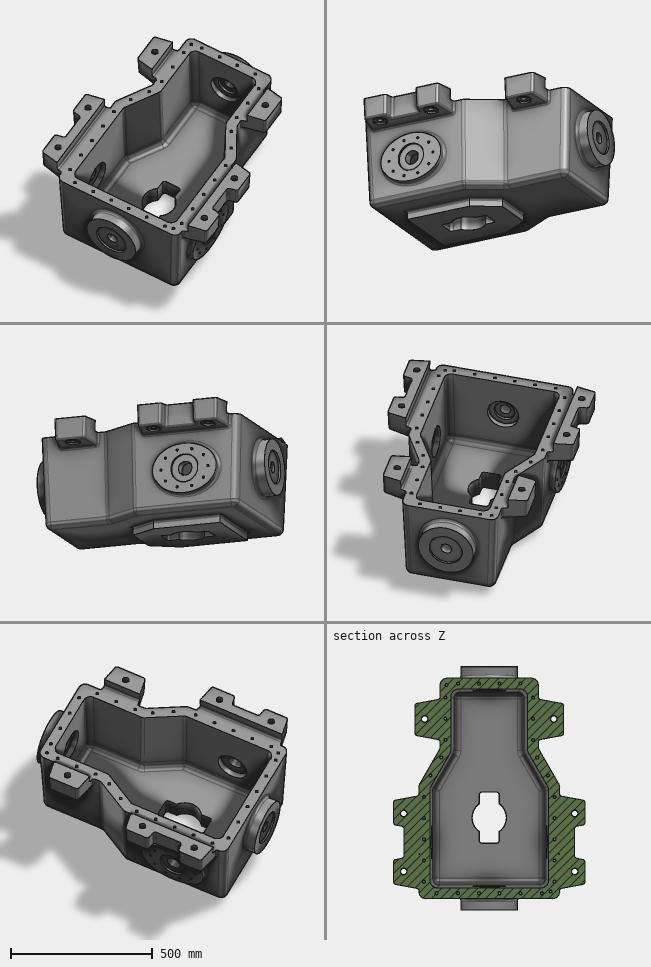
import cadquery as cq
import math

SPAN = 860.0

PAD_TOP = 39.5
BODY_HEIGHT = 330.0
BASE_BOTTOM = -360.0
DRAFT = 2.0

WIDE_HALF = 249.0
NARROW_HALF = 175.0
BODY_HALF_LENGTH = 390.5
NECK_REAR_Y = 141.0
NECK_ANGLE = 60.0
WALL = 40.0
CORNER_RADIUS = 25.0

PAD_TIP_RADIUS = 9.5
PAD_FLARE = 10.5
PAD_INNER_X = 155.0
PAD_TIP_DEPTH = 78.0
PAD_SLOPE = 5.0
PAD_EDGE_RADIUS = 7.0
PAD_ROOT_RADIUS = 8.0
STEP_RADIUS = 7.0
PAD_HOLE_DIAMETER = 22.0
SPOTFACE_RADIUS = 26.0
SPOTFACE_Z = -38.0
PAD_BLANK_HEIGHT = 112.0
ROOT_BAND = 6.0

REAR_PAD_TIP_X = 265.0
REAR_PAD_STEP_X = 196.0
REAR_PAD_Y = 243.0
REAR_PAD_TIP_HALF = 58.0
REAR_HOLE = (228.0, 245.0)

FRONT_PAD_TIP_X = 340.1
FRONT_PAD_STEP_X = 270.0
FRONT_PAD_Y = -190.0
FRONT_PAD_TIP_HALF = 150.0
NOTCH_FLOOR_X = 304.0
NOTCH_FLOOR_HALF = 53.0
FRONT_HOLE_X = 302.0
FRONT_HOLE_Y = -191.0
FRONT_HOLE_SPACING = 205.0

END_BOSS_Z = -140.0
END_BOSS_RADIUS = 100.2
END_BOSS_FACE = 430.0
END_RECESS_RADIUS = 60.0
END_BORE_RADIUS = 20.0

SIDE_BOSS_Y = -190.0
SIDE_BOSS_Z = -185.0
SIDE_BOSS_AXES = (120.0, 90.0)
SIDE_BOSS_FACE = 265.0
SIDE_RECESS_RADIUS = 51.0
SIDE_BORE_RADIUS = 25.4
SIDE_BOLT_AXES = (89.0, 70.5)
SIDE_BOLT_COUNT = 10
SIDE_BOLT_DIAMETER = 8.0

BOSS_ROOT_RADIUS = 10.0
RECESS_DEPTH = 8.0
INNER_RECESS_RADIUS = 57.0
END_INNER_FLOOR = 364.0
END_INNER_STEP_RADIUS = 38.0
END_INNER_STEP_FLOOR = 374.0
SIDE_INNER_FLOOR = 223.0

BASE_HALF_WIDTH = 135.0
BASE_FRONT_Y = -275.0
BASE_NECK_Y = -24.0
BASE_REAR_Y = 76.0
BASE_ROOT_RADIUS = 9.0
OPENING_Y = -103.0
OPENING_RADIUS = 60.0
SLOT_WIDTH = 70.5
SLOT_LENGTH = 181.0
SLOT_CORNER_RADIUS = 10.0

RIM_HOLE_DIAMETER = 9.5
THREAD_DEPTH = 20.0
RIM_PITCH = 75.0
RIM_NARROW_X = 155.0
RIM_NARROW_Y = 246.0
RIM_WIDE_X = 230.5
RIM_WIDE_Y = -180.0
RIM_END_Y = 370.2
RIM_END_XS = (36.0, 110.0)
RIM_FRONT_OUTER_X = 186.0
RIM_NECK_POINTS = ((169.0, 109.0), (207.0, 46.0))
DOWEL_POINTS = ((-150.5, 365.5), (217.0, -364.0))


def tan(angle):
    return math.tan(math.radians(angle))


def mirrored(points):
    """Points on the +X side joined by their reflections, as a closed outline order."""
    return points + [(-x, y) for x, y in reversed(points)]


def box_around(center, half_sizes):
    """Selector for the edges centred within a box."""
    low = [c - h for c, h in zip(center, half_sizes)]
    high = [c + h for c, h in zip(center, half_sizes)]
    return cq.selectors.BoxSelector(low, high)


def both_sides(solid):
    return solid.union(solid.mirror("YZ"))


def body_outline(inset):
    neck_shift = inset * tan((90 - NECK_ANGLE) / 2)
    neck_front_y = NECK_REAR_Y - (WIDE_HALF - NARROW_HALF) * tan(NECK_ANGLE)
    return mirrored([
        (WIDE_HALF - inset, inset - BODY_HALF_LENGTH),
        (WIDE_HALF - inset, neck_front_y - neck_shift),
        (NARROW_HALF - inset, NECK_REAR_Y - neck_shift),
        (NARROW_HALF - inset, BODY_HALF_LENGTH - inset),
    ])


def tapered_tub(inset, height):
    """Body outline set in by `inset`, drawn down from the rim with draft and rounded edges."""
    floor_outline = body_outline(inset + height * tan(DRAFT))
    tub = (
        cq.Workplane("XY").polyline(body_outline(inset)).close()
        .workplane(offset=-height).polyline(floor_outline).close()
        .loft(ruled=True)
    )
    return tub.edges("(not #Z) or <Z").fillet(CORNER_RADIUS)


def pad_notch(tip_x, center_y):
    """Gap between two pads, opening to the tip and widening downward with the draft."""
    growth = PAD_BLANK_HEIGHT * tan(DRAFT)
    floor_x = NOTCH_FLOOR_X - growth
    mouth_x = tip_x + PAD_BLANK_HEIGHT
    side_growth = growth / math.cos(math.radians(PAD_FLARE)) - growth * tan(PAD_FLARE)
    floor_half = NOTCH_FLOOR_HALF + side_growth
    mouth_half = floor_half + (mouth_x - floor_x) * tan(PAD_FLARE)
    outline = [
        (floor_x, center_y - floor_half),
        (mouth_x, center_y - mouth_half),
        (mouth_x, center_y + mouth_half),
        (floor_x, center_y + floor_half),
    ]
    return (
        cq.Workplane("XY", origin=(0, 0, PAD_TOP - PAD_BLANK_HEIGHT))
        .polyline(outline).close().extrude(PAD_BLANK_HEIGHT, taper=DRAFT)
    )


def pad(tip_x, step_x, center_y, tip_half, notched):
    """Drafted pad on the +X side, with a sloping underside and a step down to the rim."""
    root_half = tip_half + (tip_x - PAD_INNER_X) * tan(PAD_FLARE)
    outline = [
        (PAD_INNER_X, center_y - root_half),
        (tip_x, center_y - tip_half),
        (tip_x, center_y + tip_half),
        (PAD_INNER_X, center_y + root_half),
    ]
    block = (
        cq.Workplane("XY", origin=(0, 0, PAD_TOP))
        .polyline(outline).close().extrude(-PAD_BLANK_HEIGHT, taper=DRAFT)
    )
    if notched:
        block = block.cut(pad_notch(tip_x, center_y))
    outside_wall = cq.selectors.BoxSelector((step_x, -SPAN, -SPAN), (SPAN, SPAN, SPAN))
    block = block.edges("not #Z").edges(outside_wall).fillet(PAD_TIP_RADIUS)

    tip_bottom = PAD_TOP - PAD_TIP_DEPTH
    root_bottom = tip_bottom - tip_x * tan(PAD_SLOPE)
    below = (
        cq.Workplane("XZ")
        .polyline([(0, root_bottom), (tip_x, tip_bottom), (tip_x, -SPAN), (0, -SPAN)])
        .close().extrude(SPAN, both=True)
    )
    block = block.cut(below).faces("<Z").edges("not <X").fillet(PAD_EDGE_RADIUS)

    step = (
        cq.Workplane("XY").box(2 * step_x, 2 * SPAN, PAD_TOP, centered=(True, True, False))
        .edges(">X and <Z").fillet(STEP_RADIUS)
    )
    return block.cut(step)


def add_pads(body, wall_half, tip_x, step_x, center_y, tip_half, notched):
    """Join a mirrored pair of pads to the side walls and round their roots."""
    body = body.union(both_sides(pad(tip_x, step_x, center_y, tip_half, notched)))
    reach_y = tip_half + (tip_x - PAD_INNER_X) * tan(PAD_FLARE)
    for side in (-1, 1):
        root = box_around(
            (side * wall_half, center_y, -PAD_TIP_DEPTH / 2),
            (ROOT_BAND, reach_y, PAD_TIP_DEPTH / 2),
        )
        body = body.edges(root).fillet(PAD_ROOT_RADIUS)
    return body


def drill(body, diameter, depth, top_z, points):
    tools = (
        cq.Workplane("XY", origin=(0, 0, top_z)).pushPoints(points)
        .circle(diameter / 2).extrude(-depth)
    )
    return body.cut(tools)


def pad_holes(body):
    """Clearance holes through the pads, spotfaced on the sloping underside."""
    front_ys = [FRONT_HOLE_Y + side * FRONT_HOLE_SPACING / 2 for side in (-1, 1)]
    points = mirrored([REAR_HOLE] + [(FRONT_HOLE_X, y) for y in front_ys])
    body = drill(body, PAD_HOLE_DIAMETER, PAD_BLANK_HEIGHT, PAD_TOP, points)
    return drill(body, 2 * SPOTFACE_RADIUS, PAD_BLANK_HEIGHT - PAD_TOP, SPOTFACE_Z, points)


def rim_holes(body):
    narrow = [(RIM_NARROW_X, RIM_NARROW_Y + i * RIM_PITCH) for i in range(-1, 2)]
    wide = [(RIM_WIDE_X, RIM_WIDE_Y + i * RIM_PITCH) for i in range(-2, 3)]
    ends = [(x, side * RIM_END_Y) for x in RIM_END_XS for side in (-1, 1)]
    ends.append((RIM_FRONT_OUTER_X, -RIM_END_Y))
    points = mirrored(narrow + wide + ends + list(RIM_NECK_POINTS)) + list(DOWEL_POINTS)
    return drill(body, RIM_HOLE_DIAMETER, THREAD_DEPTH, 0, points)


def end_plane(y):
    return cq.Workplane("XZ", origin=(0, y, END_BOSS_Z))


def side_plane(x):
    return cq.Workplane("YZ", origin=(x, SIDE_BOSS_Y, SIDE_BOSS_Z))


def add_bosses(body):
    """Bosses on all four walls, rounded where they meet the drafted faces."""
    end_root_y = BODY_HALF_LENGTH - WALL / 2
    side_root_x = WIDE_HALF - WALL / 2
    root_size = (ROOT_BAND, ROOT_BAND, ROOT_BAND)
    for side in (-1, 1):
        end_boss = end_plane(side * end_root_y).circle(END_BOSS_RADIUS)
        side_boss = side_plane(side * side_root_x).ellipse(*SIDE_BOSS_AXES)
        body = body.union(end_boss.extrude(-side * (END_BOSS_FACE - end_root_y)))
        body = body.union(side_boss.extrude(side * (SIDE_BOSS_FACE - side_root_x)))

        end_wall_y = side * (BODY_HALF_LENGTH + END_BOSS_Z * tan(DRAFT))
        end_root = box_around((0, end_wall_y, END_BOSS_Z), root_size)
        side_wall_x = side * (WIDE_HALF + SIDE_BOSS_Z * tan(DRAFT))
        side_root = box_around((side_wall_x, SIDE_BOSS_Y, SIDE_BOSS_Z), root_size)
        body = body.edges(end_root).fillet(BOSS_ROOT_RADIUS)
        body = body.edges(side_root).fillet(BOSS_ROOT_RADIUS)
    return body


def bore_bosses(body):
    """Through bores, the shallow recesses at both ends of each, and the side bolt circles."""
    end_cuts = (
        (END_BORE_RADIUS, END_BOSS_FACE),
        (END_INNER_STEP_RADIUS, END_INNER_STEP_FLOOR),
        (INNER_RECESS_RADIUS, END_INNER_FLOOR),
    )
    side_cuts = (
        (SIDE_BORE_RADIUS, SIDE_BOSS_FACE),
        (INNER_RECESS_RADIUS, SIDE_INNER_FLOOR),
    )
    for radius, reach in end_cuts:
        body = body.cut(end_plane(0).circle(radius).extrude(reach, both=True))
    for radius, reach in side_cuts:
        body = body.cut(side_plane(0).circle(radius).extrude(reach, both=True))

    angles = [2 * math.pi * i / SIDE_BOLT_COUNT for i in range(SIDE_BOLT_COUNT)]
    long_axis, short_axis = SIDE_BOLT_AXES
    bolts = [(long_axis * math.cos(a), short_axis * math.sin(a)) for a in angles]
    for side in (-1, 1):
        end_face = end_plane(side * END_BOSS_FACE)
        side_face = side_plane(side * SIDE_BOSS_FACE)
        body = body.cut(end_face.circle(END_RECESS_RADIUS).extrude(side * RECESS_DEPTH))
        body = body.cut(side_face.circle(SIDE_RECESS_RADIUS).extrude(-side * RECESS_DEPTH))
        bolt_holes = side_face.pushPoints(bolts).circle(SIDE_BOLT_DIAMETER / 2)
        body = body.cut(bolt_holes.extrude(-side * THREAD_DEPTH))
    return body


def add_base(body):
    """Base plate under the floor, narrowed at the rear along the same angle as the body."""
    rear_half = BASE_HALF_WIDTH - (BASE_REAR_Y - BASE_NECK_Y) / tan(NECK_ANGLE)
    outline = mirrored([
        (BASE_HALF_WIDTH, BASE_FRONT_Y),
        (BASE_HALF_WIDTH, BASE_NECK_Y),
        (rear_half, BASE_REAR_Y),
    ])
    plate = (
        cq.Workplane("XY", origin=(0, 0, BASE_BOTTOM))
        .polyline(outline).close().extrude(-BASE_BOTTOM - BODY_HEIGHT + WALL / 2)
    )
    root = box_around(
        (0, (BASE_FRONT_Y + BASE_REAR_Y) / 2, -BODY_HEIGHT),
        (BASE_HALF_WIDTH + ROOT_BAND, (BASE_REAR_Y - BASE_FRONT_Y) / 2 + ROOT_BAND, ROOT_BAND),
    )
    return body.union(plate).edges(root).fillet(BASE_ROOT_RADIUS)


def floor_opening():
    """Round hole crossed by a slot, right through the floor and base plate."""
    bottom = cq.Workplane("XY", origin=(0, OPENING_Y, BASE_BOTTOM))
    slot = bottom.rect(SLOT_WIDTH, SLOT_LENGTH).extrude(-BASE_BOTTOM)
    slot = slot.edges("|Z").fillet(SLOT_CORNER_RADIUS)
    return slot.union(bottom.circle(OPENING_RADIUS).extrude(-BASE_BOTTOM))


housing = tapered_tub(0, BODY_HEIGHT)
housing = add_pads(
    housing, NARROW_HALF,
    tip_x=REAR_PAD_TIP_X, step_x=REAR_PAD_STEP_X,
    center_y=REAR_PAD_Y, tip_half=REAR_PAD_TIP_HALF, notched=False,
)
housing = add_pads(
    housing, WIDE_HALF,
    tip_x=FRONT_PAD_TIP_X, step_x=FRONT_PAD_STEP_X,
    center_y=FRONT_PAD_Y, tip_half=FRONT_PAD_TIP_HALF, notched=True,
)
housing = add_bosses(housing)
housing = add_base(housing)
housing = housing.cut(tapered_tub(WALL, BODY_HEIGHT - WALL))
housing = bore_bosses(housing)
housing = housing.cut(floor_opening())
housing = pad_holes(housing)
result = rim_holes(housing)